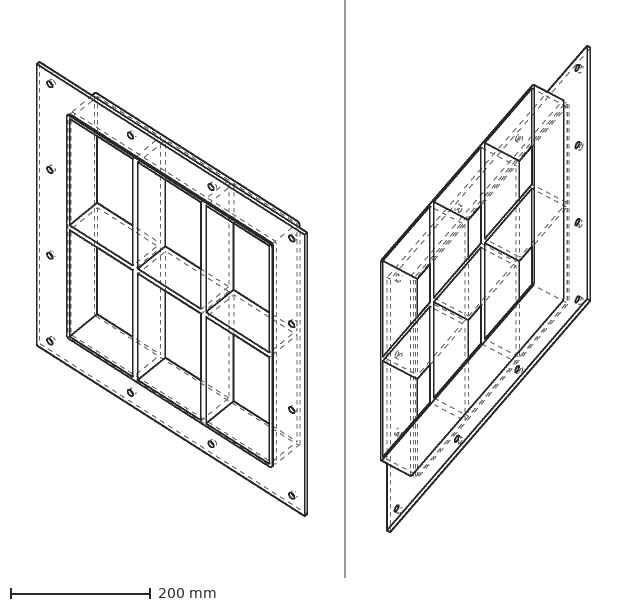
import cadquery as cq

flange_width = 513.5
flange_height = 580.0
flange_thickness = 6.0

frame_depth = 60.0
frame_margin = 60.0
frame_lip = 3.0
wall = 6.0
frame_corner_radius = 6.0
frame_width = flange_width - 2 * frame_margin
frame_height = flange_height - 2 * frame_margin

columns = 3
rows = 2
rib = 10.0
opening_width = (frame_width - 2 * wall - (columns - 1) * rib) / columns
opening_height = (frame_height - 2 * wall - (rows - 1) * rib) / rows

hole_diameter = 10.5
hole_inset = 25.0
holes_per_side = 4
hole_pitch_x = (flange_width - 2 * hole_inset) / (holes_per_side - 1)
hole_pitch_z = (flange_height - 2 * hole_inset) / (holes_per_side - 1)


def block(width, depth, height, front_y):
    """Box centred in X and Z whose front face lies at front_y."""
    return cq.Workplane("XY").box(width, depth, height).translate((0, front_y + depth / 2, 0))


def border_hole_points():
    """Grid positions that lie on the border of the hole pattern."""
    ends = (0, holes_per_side - 1)
    return [
        (-flange_width / 2 + hole_inset + i * hole_pitch_x, -flange_height / 2 + hole_inset + j * hole_pitch_z)
        for i in range(holes_per_side)
        for j in range(holes_per_side)
        if i in ends or j in ends
    ]


def make_openings():
    """Cutters for the rectangular openings, running the full frame depth."""
    return (
        cq.Workplane("XZ")
        .rarray(opening_width + rib, opening_height + rib, columns, rows)
        .rect(opening_width, opening_height)
        .extrude(-frame_depth)
    )


def make_holes():
    """Cutters for the mounting holes through the flange."""
    return (
        cq.Workplane("XZ")
        .pushPoints(border_hole_points())
        .circle(hole_diameter / 2)
        .extrude(-(frame_lip + flange_thickness))
    )


flange = block(flange_width, flange_thickness, flange_height, frame_lip)
frame = block(frame_width, frame_depth, frame_height, 0).edges("|Y").fillet(frame_corner_radius)

result = flange.union(frame).cut(make_openings()).cut(make_holes())